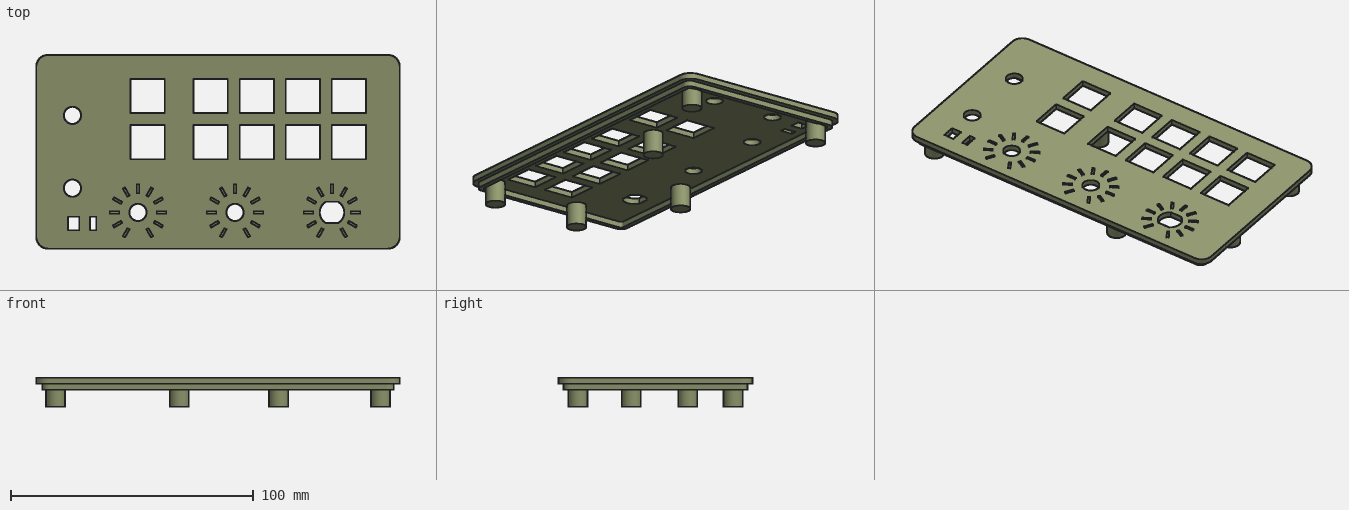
import cadquery as cq

PLATE_LENGTH = 150.0
PLATE_WIDTH = 80.0
PLATE_THICKNESS = 2.5
PLATE_CORNER_RADIUS = 5.0
RIM_INSET_X = 2.5
RIM_INSET_Y = 2.0
RIM_HEIGHT = 2.5
RIM_CORNER_RADIUS = 3.0
RIM_WIDTH = 2.0

STANDOFF_DIAMETER = 8.0
STANDOFF_HEIGHT = 9.5
STANDOFF_CENTRES = [
    (-67.0, 32.0),
    (-67.0, -32.0),
    (-16.0, 13.3),
    (25.0, -32.0),
    (67.0, -10.0),
    (67.0, 32.0),
]

KEY_SIZE = 14.0
KEY_PITCH = 19.0
KEY_BLOCK_COLUMNS = 4
KEY_BLOCK_FIRST_X = -3.0
KEY_SEPARATE_X = -29.0
KEY_LOWER_ROW_Y = 4.0
KEY_ROWS = 2

JACK_DIAMETER = 7.0
JACK_X = -60.0
JACK_OFFSET_Y = 15.0

KNOB_COUNT = 3
KNOB_PITCH = 40.0
KNOB_FIRST_X = -33.0
KNOB_Y = -25.0
SHAFT_DIAMETER = 7.0
VOLUME_DIAMETER = 10.0
VOLUME_ACROSS_FLATS = 8.6

MARK_COUNT = 11
MARK_FIRST_ANGLE = -60.0
MARK_SWEEP = 300.0
MARK_INNER_RADIUS = 7.8
MARK_LENGTH = 3.8
MARK_WIDTH = 1.0
MARK_DEPTH = 1.0

SMALL_OPENING_Y = -29.6
SMALL_OPENING_HEIGHT = 5.5
SWITCH_X = -59.5
SWITCH_WIDTH = 4.5
LAMP_X = -51.5
LAMP_WIDTH = 2.5




def rounded_slab(length, width, height, radius):
    """Slab rising from Z = 0 (or hanging below it if height is negative) with rounded corners."""
    slab = cq.Workplane("XY").rect(length, width).extrude(height)
    return slab.edges("|Z").fillet(radius)


def make_rim():
    """Locating rim hanging from the plate, with an even wall width all round."""
    length = PLATE_LENGTH - 2 * RIM_INSET_X
    width = PLATE_WIDTH - 2 * RIM_INSET_Y
    outer = rounded_slab(length, width, -RIM_HEIGHT, RIM_CORNER_RADIUS)
    inner = rounded_slab(
        length - 2 * RIM_WIDTH,
        width - 2 * RIM_WIDTH,
        -RIM_HEIGHT,
        RIM_CORNER_RADIUS - RIM_WIDTH,
    )
    return outer.cut(inner)


def make_body():
    """Face plate, locating rim and standoffs joined together."""
    plate = rounded_slab(PLATE_LENGTH, PLATE_WIDTH, PLATE_THICKNESS, PLATE_CORNER_RADIUS)
    standoffs = (
        cq.Workplane("XY")
        .pushPoints(STANDOFF_CENTRES)
        .circle(STANDOFF_DIAMETER / 2)
        .extrude(-STANDOFF_HEIGHT)
    )
    return plate.union(make_rim()).union(standoffs)


def rectangular_openings(centres, width, height):
    return cq.Workplane("XY").pushPoints(centres).rect(width, height).extrude(PLATE_THICKNESS)


def round_openings(centres, diameter):
    return cq.Workplane("XY").pushPoints(centres).circle(diameter / 2).extrude(PLATE_THICKNESS)


def key_centres():
    columns = [KEY_SEPARATE_X]
    columns += [KEY_BLOCK_FIRST_X + i * KEY_PITCH for i in range(KEY_BLOCK_COLUMNS)]
    rows = [KEY_LOWER_ROW_Y + i * KEY_PITCH for i in range(KEY_ROWS)]
    return [(x, y) for x in columns for y in rows]


def flatted_opening(centre):
    """Round opening with a flat on its front and back sides."""
    flats = rectangular_openings([centre], VOLUME_DIAMETER, VOLUME_ACROSS_FLATS)
    return round_openings([centre], VOLUME_DIAMETER).intersect(flats)


def scale_marks(centre):
    """Ring of short radial grooves cut into the top face."""
    mid_radius = MARK_INNER_RADIUS + MARK_LENGTH / 2
    return (
        cq.Workplane("XY", origin=(*centre, PLATE_THICKNESS))
        .polarArray(mid_radius, MARK_FIRST_ANGLE, MARK_SWEEP, MARK_COUNT)
        .rect(MARK_LENGTH, MARK_WIDTH)
        .extrude(-MARK_DEPTH)
    )


jack_centres = [(JACK_X, JACK_OFFSET_Y), (JACK_X, -JACK_OFFSET_Y)]
knob_centres = [(KNOB_FIRST_X + i * KNOB_PITCH, KNOB_Y) for i in range(KNOB_COUNT)]
shaft_centres = knob_centres[:-1]
volume_centre = knob_centres[-1]
switch_centre = (SWITCH_X, SMALL_OPENING_Y)
lamp_centre = (LAMP_X, SMALL_OPENING_Y)

result = make_body()
result = result.cut(rectangular_openings(key_centres(), KEY_SIZE, KEY_SIZE))
result = result.cut(round_openings(jack_centres, JACK_DIAMETER))
result = result.cut(rectangular_openings([switch_centre], SWITCH_WIDTH, SMALL_OPENING_HEIGHT))
result = result.cut(rectangular_openings([lamp_centre], LAMP_WIDTH, SMALL_OPENING_HEIGHT))
result = result.cut(round_openings(shaft_centres, SHAFT_DIAMETER))
result = result.cut(flatted_opening(volume_centre))
for knob_centre in knob_centres:
    result = result.cut(scale_marks(knob_centre))